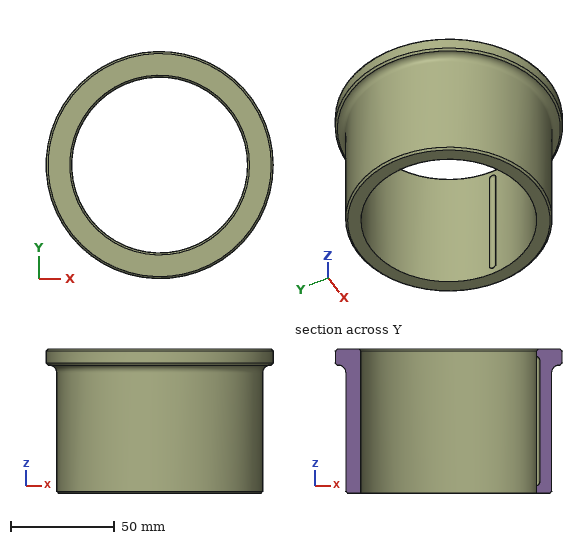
import cadquery as cq

height = 70.0
flange_diameter = 110.0
flange_thickness = 8.0
body_diameter = 100.0
bore_diameter = 85.0
edge_chamfer = 1.0
neck_fillet = 3.5

groove_depth = 1.5
groove_radius = 1.75
groove_end_margin = 3.75

flange_radius = flange_diameter / 2
body_radius = body_diameter / 2
bore_radius = bore_diameter / 2
groove_axis_x = bore_radius + groove_depth - groove_radius
flange_bottom = height - flange_thickness


def make_bushing():
    """Flanged sleeve standing on Z = 0, with its flange at the top."""
    return (
        cq.Workplane("XZ")
        .moveTo(bore_radius, 0)
        .lineTo(body_radius - edge_chamfer, 0)
        .lineTo(body_radius, edge_chamfer)
        .lineTo(body_radius, flange_bottom - neck_fillet)
        .radiusArc((body_radius + neck_fillet, flange_bottom), neck_fillet)
        .lineTo(flange_radius - edge_chamfer, flange_bottom)
        .lineTo(flange_radius, flange_bottom + edge_chamfer)
        .lineTo(flange_radius, height - edge_chamfer)
        .lineTo(flange_radius - edge_chamfer, height)
        .lineTo(bore_radius + edge_chamfer, height)
        .lineTo(bore_radius, height - edge_chamfer)
        .close()
        .revolve(360, (0, 0), (0, 1))
    )


def make_groove_cutter():
    """Rod with spherical ends, sunk into the bore wall by the groove depth."""
    groove_top = height - groove_end_margin
    half_outline = (
        cq.Workplane("XZ", origin=(groove_axis_x, 0, 0))
        .moveTo(0, groove_end_margin)
        .radiusArc((groove_radius, groove_end_margin + groove_radius), -groove_radius)
        .lineTo(groove_radius, groove_top - groove_radius)
        .radiusArc((0, groove_top), -groove_radius)
        .close()
    )
    return half_outline.revolve(360, (0, 0), (0, 1))


result = make_bushing().cut(make_groove_cutter())